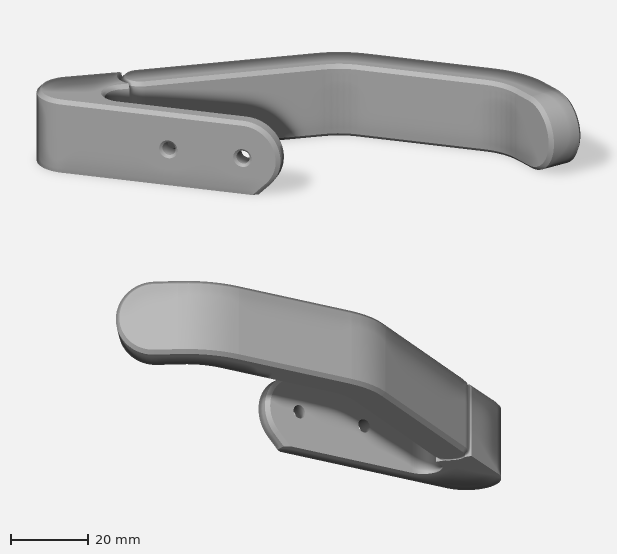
import cadquery as cq
import math

length = 137.3
depth = 55.2
height = 20.0

arm_thickness = height / 2
plate_thickness = arm_thickness / 2
end_radius = height / 2
edge_chamfer = arm_thickness / 10

stub_angle = 30.0
fold_radius = 9.0
throat_radius = plate_thickness
throat_x = 23.1
tip_center_x = 58.1
stub_reach = 27.5
stub_overrun = 6.9

hole_diameter = 3.6
hole_spacing = height
hole_chamfer = 0.7

pivot = (23.5, 22.5)
arm_angle = 31.0
tip_angle = 38.0
bend_radius = 2 * arm_thickness
first_bend_x = 75.0
second_bend_x = 109.7


def direction(angle):
    """Unit vector in the XY plane at an angle in degrees from +X."""
    return cq.Vector(math.cos(math.radians(angle)), math.sin(math.radians(angle)))


def chamfer_except(body, skipped):
    """Chamfer every edge of a body that is not among the skipped ones."""
    kept = [edge for edge in body.edges().vals() if not any(edge.isSame(s) for s in skipped)]
    return body.newObject(kept).chamfer(edge_chamfer)


def parallel_edges(body, way):
    """Edges of a body that run along one direction."""
    return body.edges(cq.selectors.ParallelDirSelector(way)).vals()


def base_blank():
    """Plan outline of the base, with the stub left too long."""
    along = direction(stub_angle)
    normal = direction(stub_angle + 90)
    halfway = direction(180 + stub_angle / 2)
    fold_center = cq.Vector(fold_radius, fold_radius)
    throat_center = cq.Vector(throat_x, plate_thickness + throat_radius)
    stub_end = stub_reach + stub_overrun
    outer_start = fold_center + normal * fold_radius
    outer_end = outer_start + along * (stub_end - outer_start.dot(along))
    inner_start = throat_center + normal * throat_radius
    inner_end = inner_start + along * (stub_end - inner_start.dot(along))
    tip_x = tip_center_x + end_radius
    return (
        cq.Workplane("XY")
        .moveTo(fold_radius, 0)
        .lineTo(tip_x, 0)
        .lineTo(tip_x, plate_thickness)
        .lineTo(throat_x, plate_thickness)
        .threePointArc((throat_center + halfway * throat_radius).toTuple()[:2], inner_start.toTuple()[:2])
        .lineTo(inner_end.x, inner_end.y)
        .lineTo(outer_end.x, outer_end.y)
        .lineTo(outer_start.x, outer_start.y)
        .threePointArc((fold_center + halfway * fold_radius).toTuple()[:2], (fold_radius, 0))
        .close()
        .extrude(height)
    )


def plate_tip_limits():
    """Side outline of the base: round at the tip, with a 45 degree slope below."""
    slope = end_radius * math.sin(math.radians(45))
    foot_x = tip_center_x + end_radius * (math.sqrt(2) - 1)
    return (
        cq.Workplane("XZ")
        .lineTo(foot_x, 0)
        .lineTo(tip_center_x + slope, end_radius - slope)
        .threePointArc((tip_center_x + end_radius, end_radius), (tip_center_x, height))
        .lineTo(0, height)
        .close()
        .extrude(-depth)
    )


def stub_trim():
    """Block that covers everything beyond the stub end face."""
    seat = cq.Vector(*pivot)
    across = seat.dot(direction(stub_angle + 90))
    return (
        cq.Workplane("XY")
        .box(2 * stub_overrun, 2 * arm_thickness, height, centered=(False, True, False))
        .translate((stub_reach, across, 0))
        .rotate((0, 0, 0), (0, 0, 1), stub_angle)
    )


def socket():
    """Round seat for the arm end, flared at the top."""
    seat_radius = arm_thickness / 2
    return (
        cq.Workplane("XZ")
        .lineTo(seat_radius, 0)
        .lineTo(seat_radius, height - edge_chamfer)
        .lineTo(seat_radius + edge_chamfer, height)
        .lineTo(0, height)
        .close()
        .revolve(360, (0, 0), (0, 1))
        .translate((*pivot, 0))
    )


def screw_hole(x):
    """Plate hole with a small countersink on its mounting face."""
    radius = hole_diameter / 2
    return (
        cq.Workplane("XY")
        .lineTo(radius + hole_chamfer, 0)
        .lineTo(radius, hole_chamfer)
        .lineTo(radius, plate_thickness)
        .lineTo(0, plate_thickness)
        .close()
        .revolve(360, (0, 0), (0, 1))
        .translate((x, 0, end_radius))
    )


def make_base():
    """Base with its edges beveled, except around the bottom and on the stub end face."""
    body = base_blank().intersect(plate_tip_limits())
    plain = parallel_edges(body, cq.Vector(0, 0, 1)) + parallel_edges(body, cq.Vector(0, 1, 0))
    body = chamfer_except(body, plain + body.faces("<Z").edges().vals())
    body = body.cut(stub_trim()).cut(socket())
    for x in (tip_center_x - hole_spacing, tip_center_x):
        body = body.cut(screw_hole(x))
    return body


def make_arm():
    """Bent arm, round in plan at the pivot and round across its height at the tip."""
    half = arm_thickness / 2
    rise = direction(arm_angle)
    rise_normal = direction(arm_angle + 90)
    fall = direction(-tip_angle)
    fall_normal = direction(90 - tip_angle)
    bend_y = depth - half - bend_radius
    first_center = cq.Vector(first_bend_x, bend_y)
    second_center = cq.Vector(second_bend_x, bend_y)
    start = cq.Vector(*pivot)
    bend_end = second_center + fall_normal * bend_radius
    corner_x = bend_end.x + fall_normal.x * (half - edge_chamfer)
    tip = bend_end + fall * ((length - corner_x) / fall.x)

    def side(offset):
        """Points of one long side, from the pivot end to the tip."""
        radius = bend_radius + offset
        return [
            point.toTuple()[:2]
            for point in (
                start + rise_normal * offset,
                first_center + rise_normal * radius,
                first_center + direction(90 + arm_angle / 2) * radius,
                first_center + direction(90) * radius,
                second_center + direction(90) * radius,
                second_center + direction(90 - tip_angle / 2) * radius,
                bend_end + fall_normal * offset,
                tip + fall_normal * offset,
            )
        ]

    outer = side(half)
    inner = side(-half)
    body = (
        cq.Workplane("XY")
        .moveTo(*outer[0])
        .lineTo(*outer[1])
        .threePointArc(outer[2], outer[3])
        .lineTo(*outer[4])
        .threePointArc(outer[5], outer[6])
        .lineTo(*outer[7])
        .lineTo(*inner[7])
        .lineTo(*inner[6])
        .threePointArc(inner[5], inner[4])
        .lineTo(*inner[3])
        .threePointArc(inner[2], inner[1])
        .lineTo(*inner[0])
        .threePointArc((start - rise * half).toTuple()[:2], outer[0])
        .close()
        .extrude(height)
    )
    round_center = tip - fall * end_radius + cq.Vector(0, 0, end_radius)
    across = cq.Plane(origin=round_center, xDir=fall, normal=fall_normal)
    corners = (
        cq.Workplane(across)
        .center(height / 2, 0)
        .rect(height, 2 * height)
        .extrude(arm_thickness, both=True)
        .cut(cq.Workplane(across).circle(end_radius).extrude(arm_thickness, both=True))
    )
    body = body.cut(corners)
    plain = parallel_edges(body, cq.Vector(0, 0, 1)) + parallel_edges(body, fall_normal)
    return chamfer_except(body, plain)


base = make_base()
arm = make_arm()
result = cq.Compound.makeCompound([base.val(), arm.val()])